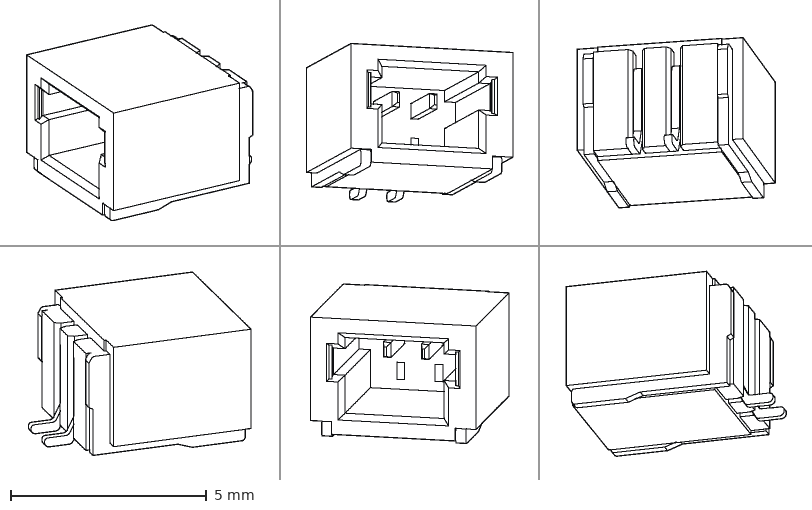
import cadquery as cq


height = 3.14
width = 4.35
shell_bottom = 0.42
shell_back = 3.745

middle_width = 3.25
middle_bottom = 0.085
middle_back = 3.805

rear_wall_back = 4.305
rear_wall_bottom = 0.19
rear_wall_top = 2.85
slot_width = 0.25
slot_flare = 0.09
slot_flare_depth = 0.15

lead_in = 0.15
cavity_depth = 3.03
cavity_width = 2.6
cavity_bottom = 0.625
cavity_top = 2.615
ears_width = 3.2
ears_bottom = 1.625
ears_top = 2.325

bracket_span = 3.79
bracket_top = 2.85
bracket_back = 4.32
bracket_slope_top = (4.22, bracket_top)
bracket_slope_bottom = (bracket_back, 2.675)
bracket_bulge_bottom = 1.465
bracket_recess_back = 4.205
bracket_recess_top = 1.405
bracket_bottom = 0.135
foot_front = 0.055
foot_slope_top = (0.1, shell_bottom)
foot_slope_bottom = (foot_front, 0.35)
foot_rise_start = 1.5
foot_rise_end = 1.895
foot_round = 0.1
bracket_round = 0.11

pitch = 1.0
pin_count = 2
pin_width = 0.2
tail_tip = 5.05
tail_height = 0.25
tail_top_round = 0.09
tail_bottom_round = 0.13
bend_round = 0.13
bend_top = (4.395, tail_height)
bend_bottom = (4.315, 0)
leg_top = 0.68
post_back = 4.17
contact_bottom = 1.835
contact_top = 2.225
contact_tip = 1.26
contact_taper = 0.07
contact_taper_length = 0.205
barb_bottom = 0.885
barb_top = 1.335

pin_places = [(i - (pin_count - 1) / 2) * pitch for i in range(pin_count)]


def block(x_size, y_front, y_back, z_bottom, z_top, x_middle=0):
    """Box centred on x_middle between the given Y and Z limits."""
    y_size = y_back - y_front
    z_size = z_top - z_bottom
    corner = cq.Workplane("XY", origin=(x_middle, y_front, z_bottom))
    return corner.box(x_size, y_size, z_size, centered=(True, False, False))


def plate_plane(x_left):
    """Sketch plane at x_left with local axes (Y, Z), extruding towards +X."""
    return cq.Workplane("YZ", origin=(x_left, 0, 0))


def round_edge(plate, point, radius):
    """Fillet the X-parallel edge at the given (y, z) point."""
    x_middle = plate.val().Center().x
    edge = cq.selectors.NearestToPointSelector((x_middle, *point))
    return plate.edges("|X").edges(edge).fillet(radius)


def funnel(x_size, z_bottom, z_top):
    """Straight pocket of the cavity with a 45 degree lead-in at the mating face."""
    z_middle = (z_bottom + z_top) / 2
    z_size = z_top - z_bottom
    pocket = block(x_size, 0, cavity_depth, z_bottom, z_top)
    mouth = (
        cq.Workplane("XZ", origin=(0, 0, z_middle))
        .rect(x_size + 2 * lead_in, z_size + 2 * lead_in)
        .workplane(offset=-lead_in)
        .rect(x_size, z_size)
        .loft(ruled=True)
    )
    return pocket.union(mouth)


def make_cavity():
    """Cross-shaped cavity whose ear lead-ins stop at the upright front edges of the brackets."""
    ears = funnel(ears_width, ears_bottom, ears_top)
    between_brackets = block(middle_width, 0, cavity_depth, 0, height)
    before_brackets = block(width, 0, foot_front, 0, height)
    ears = ears.intersect(between_brackets.union(before_brackets))
    return funnel(cavity_width, cavity_bottom, cavity_top).union(ears)


def make_slot(x_middle):
    """Full-height slot in the rear wall, flared at its rear end."""
    half = slot_width / 2
    flare_half = half + slot_flare
    flare_start = rear_wall_back - slot_flare_depth
    return (
        cq.Workplane("XY", origin=(x_middle, 0, 0))
        .polyline([
            (-half, middle_back),
            (half, middle_back),
            (half, flare_start),
            (flare_half, rear_wall_back),
            (-flare_half, rear_wall_back),
            (-half, flare_start),
        ])
        .close()
        .extrude(height)
    )


def make_bracket(x_left):
    """L-shaped solder bracket: upright behind the shell, foot under it, lower-X face at x_left."""
    outline = [
        foot_slope_top,
        (shell_back, shell_bottom),
        (shell_back, bracket_top),
        bracket_slope_top,
        bracket_slope_bottom,
        (bracket_back, bracket_bulge_bottom),
        (bracket_recess_back, bracket_recess_top),
        (bracket_recess_back, bracket_bottom),
        (foot_rise_end, bracket_bottom),
        (foot_rise_start, 0),
        (foot_front, 0),
        foot_slope_bottom,
    ]
    thickness = (bracket_span - middle_width) / 2
    bracket = plate_plane(x_left).polyline(outline).close().extrude(thickness)
    bracket = round_edge(bracket, bracket_slope_top, bracket_round)
    bracket = round_edge(bracket, foot_slope_bottom, bracket_round)
    return round_edge(bracket, (foot_front, 0), foot_round)


def tip_waste(x_middle):
    """Material around the tapered end of a contact."""
    z_size = contact_top - contact_bottom
    z_middle = (contact_top + contact_bottom) / 2
    taper_start = contact_tip + contact_taper_length
    tip = (
        cq.Workplane("XZ", origin=(x_middle, contact_tip, z_middle))
        .rect(pin_width - 2 * contact_taper, z_size - 2 * contact_taper)
        .workplane(offset=-contact_taper_length)
        .rect(pin_width, z_size)
        .loft(ruled=True)
    )
    return block(pin_width, contact_tip, taper_start, contact_bottom, contact_top, x_middle).cut(tip)


def make_pin(x_middle):
    """Flat pin: solder tail, sloped leg, round-topped post, press-fit barb and tapered contact."""
    post_middle = (middle_back + post_back) / 2
    post_top = contact_top + post_back - post_middle
    pin = (
        plate_plane(x_middle - pin_width / 2)
        .moveTo(tail_tip, tail_height)
        .lineTo(*bend_top)
        .lineTo(post_back, leg_top)
        .lineTo(post_back, contact_top)
        .threePointArc((post_middle, post_top), (middle_back, contact_top))
        .lineTo(contact_tip, contact_top)
        .lineTo(contact_tip, contact_bottom)
        .lineTo(middle_back, contact_bottom)
        .lineTo(middle_back, barb_top)
        .lineTo(cavity_depth, barb_top)
        .lineTo(cavity_depth, barb_bottom)
        .lineTo(middle_back, barb_bottom)
        .lineTo(*bend_bottom)
        .lineTo(tail_tip, 0)
        .close()
        .extrude(pin_width)
    )
    pin = round_edge(pin, (tail_tip, 0), tail_bottom_round)
    pin = round_edge(pin, (tail_tip, tail_height), tail_top_round)
    pin = round_edge(pin, bend_top, bend_round)
    pin = round_edge(pin, bend_bottom, bend_round)
    return pin.cut(tip_waste(x_middle))


def make_housing(pins):
    """Shell, middle, rear wall and brackets, with the cavity, slots and pin holes cut out."""
    shell = block(width, 0, shell_back, shell_bottom, height)
    middle = block(middle_width, 0, middle_back, middle_bottom, height)
    rear_wall = block(middle_width, middle_back, rear_wall_back, rear_wall_bottom, rear_wall_top)
    for x_middle in pin_places:
        rear_wall = rear_wall.cut(make_slot(x_middle))
    housing = shell.union(middle).union(rear_wall).cut(make_cavity())
    for x_left in (-bracket_span / 2, middle_width / 2):
        housing = housing.union(make_bracket(x_left))
    for pin in pins:
        housing = housing.cut(pin)
    return housing


pins = [make_pin(x_middle) for x_middle in pin_places]
housing = make_housing(pins)

result = cq.Compound.makeCompound([housing.solids().val(), *[pin.solids().val() for pin in pins]])